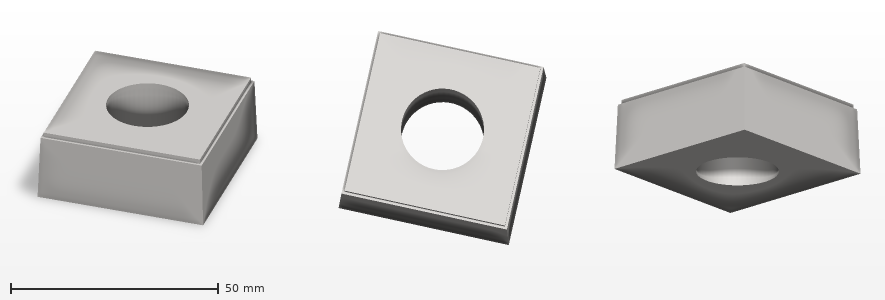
import cadquery as cq
import math

base_side = 42.0
total_height = 17.7
draft_angle = 2.0

step_height = 1.2
ledge_width = 0.65

bore_diameter = 20.0

body_height = total_height - step_height
body_top_side = base_side - 2 * body_height * math.tan(math.radians(draft_angle))
step_side = body_top_side - 2 * ledge_width

body = cq.Workplane("XY").rect(base_side, base_side).extrude(body_height, taper=draft_angle)

step = (
    cq.Workplane("XY")
    .workplane(offset=body_height)
    .rect(step_side, step_side)
    .extrude(step_height)
)

bore = cq.Workplane("XY").circle(bore_diameter / 2).extrude(total_height)

result = body.union(step).cut(bore)